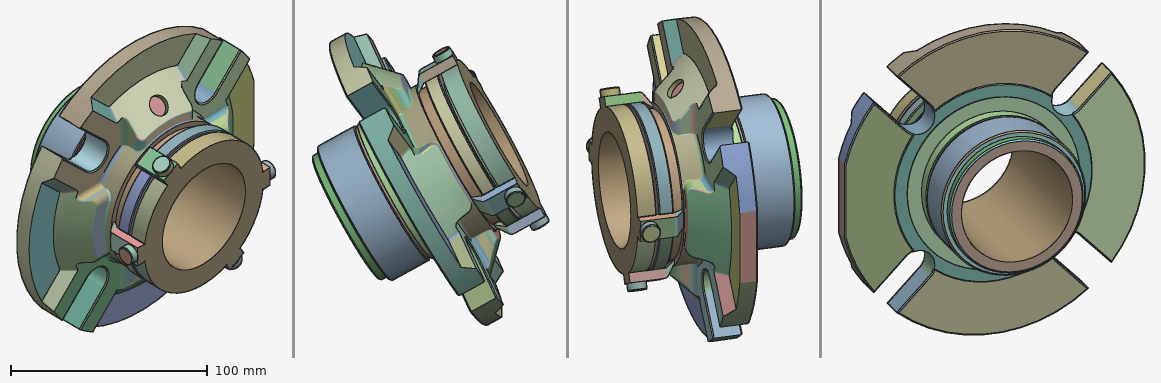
import cadquery as cq
import math

tolerance = 0.02

nose_end = 4.6
barrel_end = 27.0
groove_end = 28.5
insert_face = 35.1
register_face = 35.6
flange_face = 36.1
rim_back = 45.7
pad_top = 51.8
lobe_end = 63.5
short_lobe_end = 60.2
neck_end = 64.3
collar_start = 69.9
collar_end = 77.6
ring_start = 79.5
ring_end = 89.0

bore_dia = 60.0
nose_dia = 72.2
barrel_dia = 78.1
groove_dia = 76.2
shoulder_dia = 78.0
insert_dia = 93.1
register_dia = 107.5
flange_dia = 164.8
neck_dia = 84.0
ring_gap_dia = 73.9
collar_dia = 86.0

sleeve_chamfer = 0.8
groove_chamfer = 0.58
register_chamfer = 0.7
edge_chamfer = 0.7
neck_fillet = 1.6

flat_offset = 80.0
slot_width = 17.5
slot_center_radius = 57.0
pad_half_width_base = 25.0
pad_half_width_top = 19.8
pocket_fillet = 1.6
slot_angles = (45, 135, 225, 315)
pad_angles = (45, 135)

cone_radius_at_pad = 58.9
lobe_half_width = 19.8
lobe_foot_half_width = 28.0
lobe_flare = 2.8
lobe_corner = 3.8
lobe_edge_fillet = 1.0
lobe_root_fillet = 0.7
short_lobe_root_fillet = 1.0

port_dia = 11.0
port_depth = 2.8
port_x = 56.9

clip_angles = (-90, 30, 90, -150)
clip_inner_radius = 42.7
clip_outer_radius = 47.8
clip_width = 11.4
clip_tip_width = 9.7
clip_tip_x = 64.3
clip_bend_x = 69.4
clip_bend_radius = 2.5
clip_tip_inner_radius = 39.0
clip_tip_outer_radius = 40.5
pin_dia = 10.0
pin_top_radius = 52.0
pin_x = 84.32
pin_chamfer = 0.5


def turned(points):
    """Revolve a closed (x, radius) outline about the X axis."""
    return cq.Workplane("XY").polyline(points).close().revolve(360, (0, 0, 0), (1, 0, 0))


def disc(start, end, dia):
    """Solid cylinder on the X axis."""
    return cq.Workplane("YZ").workplane(offset=start).circle(dia / 2).extrude(end - start)


def make_sleeve():
    """Solid sleeve with its barrel, groove, collar and end ring."""
    nose = disc(0, nose_end, nose_dia).faces("<X").chamfer(sleeve_chamfer)
    barrel = disc(nose_end, barrel_end, barrel_dia)
    barrel = barrel.faces("<X").chamfer(sleeve_chamfer).faces(">X").chamfer(groove_chamfer)
    collar = disc(collar_start, collar_end, collar_dia).faces("<X or >X").chamfer(groove_chamfer)
    return (
        nose.union(barrel)
        .union(disc(barrel_end, groove_end, groove_dia))
        .union(disc(groove_end, flange_face, shoulder_dia))
        .union(disc(flange_face, collar_start, shoulder_dia))
        .union(collar)
        .union(disc(collar_end, ring_start, ring_gap_dia))
        .union(disc(ring_start, ring_end, collar_dia))
    )


def make_pad(angle):
    """Tapered bar across the flange, from which two opposite slots are cut."""
    pad = (
        cq.Workplane("XZ")
        .polyline([
            (flange_face, -pad_half_width_base),
            (rim_back, -pad_half_width_base),
            (pad_top, -pad_half_width_top),
            (pad_top, pad_half_width_top),
            (rim_back, pad_half_width_base),
            (flange_face, pad_half_width_base),
        ])
        .close()
        .extrude(flange_dia, both=True)
    )
    return pad.rotate((0, 0, 0), (1, 0, 0), angle)


def axis_distance(point):
    """Distance of a point from the X axis."""
    return math.hypot(point.y, point.z)


def is_pocket_root(edge):
    """True where the slanted side of a pad meets the cone of a lobe."""
    ends = sorted((cq.Vector(*vertex.toTuple()) for vertex in edge.Vertices()), key=lambda end: end.x)
    return (
        len(ends) == 2
        and abs(ends[0].x - rim_back) < tolerance
        and abs(ends[1].x - pad_top) < tolerance
        and axis_distance(ends[0]) < cone_radius_at_pad + pad_top - rim_back + tolerance
    )


def make_flange():
    """Rim, pads and the foot of the hub cone, cut flat on the +Y side."""
    flange = disc(flange_face, rim_back, flange_dia)
    for angle in pad_angles:
        flange = flange.union(make_pad(angle))
    flange = flange.intersect(disc(flange_face, pad_top, flange_dia))
    cone_foot = turned([
        (rim_back, 0),
        (rim_back, cone_radius_at_pad + pad_top - rim_back),
        (pad_top, cone_radius_at_pad),
        (pad_top, 0),
    ])
    flange = flange.union(cone_foot)
    flange = flange.edges().filter(is_pocket_root).fillet(pocket_fillet)
    trim = cq.Workplane("XY").box(flange_dia, flange_dia, 2 * flange_dia)
    return flange.cut(trim.translate((0, flat_offset + flange_dia / 2, 0)))


def make_slot(angle):
    """Open bolt slot running out through the rim."""
    slot = (
        cq.Workplane("YZ")
        .workplane(offset=insert_face)
        .center(slot_center_radius + flange_dia / 2, 0)
        .slot2D(flange_dia + slot_width, slot_width)
        .extrude(neck_end - insert_face)
    )
    return slot.rotate((0, 0, 0), (1, 0, 0), angle)


def make_lobe(angle, end):
    """Conical lobe on the +Z side with flared feet and rounded corners, turned about X."""
    outer = lobe_half_width
    cone = turned([
        (rim_back, 0),
        (rim_back, cone_radius_at_pad + pad_top - rim_back),
        (end, cone_radius_at_pad + pad_top - end),
        (end, 0),
    ])
    prism = (
        cq.Workplane("XY")
        .moveTo(rim_back, -lobe_foot_half_width)
        .lineTo(pad_top, -lobe_foot_half_width)
        .lineTo(pad_top, -outer - lobe_flare)
        .radiusArc((pad_top + lobe_flare, -outer), lobe_flare)
        .lineTo(end - lobe_corner, -outer)
        .radiusArc((end, -outer + lobe_corner), -lobe_corner)
        .lineTo(end, outer - lobe_corner)
        .radiusArc((end - lobe_corner, outer), -lobe_corner)
        .lineTo(pad_top + lobe_flare, outer)
        .radiusArc((pad_top, outer + lobe_flare), lobe_flare)
        .lineTo(pad_top, lobe_foot_half_width)
        .lineTo(rim_back, lobe_foot_half_width)
        .close()
        .extrude(flange_dia / 2)
    )
    above_pad = cq.selectors.BoxSelector(
        (pad_top + tolerance, -flange_dia, -flange_dia), (neck_end, flange_dia, flange_dia)
    )
    lobe = cone.intersect(prism).faces("%CONE").edges(above_pad).fillet(lobe_edge_fillet)
    return lobe.rotate((0, 0, 0), (1, 0, 0), angle)


def is_lobe_root(edge):
    """True where a lobe meets the cylinder of the neck."""
    ends = [cq.Vector(*vertex.toTuple()) for vertex in edge.Vertices()]
    past_neck_fillet = edge.Center().x > pad_top + neck_fillet + tolerance
    return past_neck_fillet and len(ends) == 2 and all(
        pad_top < end.x < neck_end - tolerance
        and abs(axis_distance(end) - neck_dia / 2) < tolerance
        for end in ends
    )


def is_on_short_lobe(edge):
    """True on the lobe of the -Y side."""
    center = edge.Center()
    return center.y < -abs(center.z)


def is_slot_edge(edge):
    """True for the edges of a slot, which stay close to a diagonal of the flange."""
    center = edge.Center()
    return abs(abs(center.y) - abs(center.z)) < slot_width / math.sqrt(2) + tolerance


def make_neck():
    """Cylindrical neck with a concave fillet at the pad tops."""
    radius = neck_dia / 2
    return (
        cq.Workplane("XY")
        .moveTo(rim_back, 0)
        .lineTo(rim_back, radius + neck_fillet)
        .lineTo(pad_top, radius + neck_fillet)
        .radiusArc((pad_top + neck_fillet, radius), -neck_fillet)
        .lineTo(neck_end, radius)
        .lineTo(neck_end, 0)
        .close()
        .revolve(360, (0, 0, 0), (1, 0, 0))
    )


def make_hub():
    """Neck with four lobes blended into it; the lobe on the -Y side is shorter."""
    hub = make_neck()
    for angle in (0, 180, 270):
        hub = hub.union(make_lobe(angle, lobe_end))
    hub = hub.union(make_lobe(90, short_lobe_end))
    roots = hub.edges().filter(is_lobe_root)
    hub = roots.filter(is_on_short_lobe).fillet(short_lobe_root_fillet)
    roots = hub.edges().filter(is_lobe_root)
    return roots.filter(lambda edge: not is_on_short_lobe(edge)).fillet(lobe_root_fillet)


def make_port():
    """Shallow hole square to the cone of the upper lobe."""
    port_z = cone_radius_at_pad + pad_top - port_x
    direction = cq.Vector(1, 0, 1).normalized()
    start = cq.Vector(port_x, 0, port_z) - direction * port_depth
    return cq.Workplane(cq.Solid.makeCylinder(port_dia / 2, 2 * port_depth, start, direction))


def make_clip(angle):
    """Bent setting clip with its pin, built on the +Z side and turned about X."""
    side = (
        cq.Workplane("XZ")
        .polyline([
            (clip_tip_x, clip_tip_inner_radius),
            (clip_tip_x, clip_tip_outer_radius),
            (clip_bend_x, clip_outer_radius),
            (ring_end, clip_outer_radius),
            (ring_end, clip_inner_radius),
            (clip_bend_x, clip_inner_radius),
        ])
        .close()
        .extrude(clip_width, both=True)
        .edges(cq.selectors.NearestToPointSelector((clip_bend_x, 0, clip_outer_radius)))
        .fillet(clip_bend_radius)
    )
    plan = (
        cq.Workplane("XY")
        .polyline([
            (clip_tip_x, -clip_tip_width / 2),
            (clip_bend_x, -clip_width / 2),
            (ring_end, -clip_width / 2),
            (ring_end, clip_width / 2),
            (clip_bend_x, clip_width / 2),
            (clip_tip_x, clip_tip_width / 2),
        ])
        .close()
        .extrude(flange_dia / 2)
    )
    pin = (
        cq.Workplane("XY", origin=(pin_x, 0, clip_outer_radius))
        .circle(pin_dia / 2)
        .extrude(pin_top_radius - clip_outer_radius)
        .faces(">Z")
        .chamfer(pin_chamfer)
    )
    return side.intersect(plan).union(pin).rotate((0, 0, 0), (1, 0, 0), angle)


slots = [make_slot(angle) for angle in slot_angles]

flange = make_flange()
for slot in slots:
    flange = flange.cut(slot)
flange = flange.faces("<X").edges().chamfer(edge_chamfer)
flange = flange.faces(">X").edges().filter(is_slot_edge).chamfer(edge_chamfer)

register = disc(register_face, rim_back, register_dia).faces("<X").chamfer(register_chamfer)
for slot in slots:
    register = register.cut(slot)

register = register.union(disc(insert_face, flange_face, insert_dia))

gland = flange.union(register).union(make_hub())
gland = gland.cut(make_port())

result = gland.union(make_sleeve())
for clip_angle in clip_angles:
    result = result.union(make_clip(clip_angle))
result = result.cut(disc(0, ring_end, bore_dia))